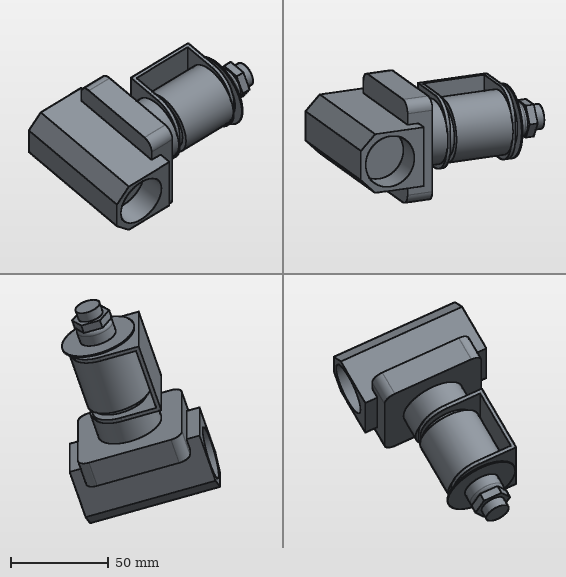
import cadquery as cq

BLOCK_LENGTH = 70.0
BLOCK_HEIGHT = 31.9
BLOCK_DEPTH = 35.3
BLOCK_CHAMFER = 8.0
FRONT_Y = -16.3
PORT_DIAMETER = 27.4
PORT_DEPTH = 13.9

FLANGE_SIZE = 56.0
FLANGE_CORNER_RADIUS = 5.9
FLANGE_FRONT_OFFSET = 29.3
FLANGE_THICKNESS = 14.0

FLANGE_BACK = FLANGE_FRONT_OFFSET + FLANGE_THICKNESS
BASE_END = 56.9
BARREL_START = 61.8
BARREL_END = 93.5
WASHER_START = 97.2
WASHER_END = 97.9
NUT_START = 106.0
NUT_END = 110.6
STEM_END = 115.9

BARREL_DIAMETER = 34.1
NECK_DIAMETER = 28.5
WASHER_DIAMETER = 39.0
CAP_DIAMETER = 19.2
CAP_FILLET = 2.3
NUT_ACROSS_CORNERS = 20.0
STUD_DIAMETER = 13.1

BRACKET_HEIGHT = 39.4
BRACKET_THICKNESS = 2.1
BRACKET_LEFT_X = -21.2
BRACKET_RIGHT_X = 15.2
BRACKET_START = 57.0
BRACKET_END = BARREL_END + BRACKET_THICKNESS


def plane_at(offset):
    """Plane facing +Y at the given distance behind the front of the block."""
    return cq.Plane(origin=(0, FRONT_Y + offset, 0), xDir=(1, 0, 0), normal=(0, 1, 0))


def disc(diameter, start, end):
    """Round step of the stem between two distances from the front."""
    return cq.Workplane(plane_at(start)).circle(diameter / 2).extrude(end - start)


def make_block():
    block = cq.Workplane("XY").box(BLOCK_LENGTH, BLOCK_DEPTH, BLOCK_HEIGHT)
    block = block.translate((0, FRONT_Y + BLOCK_DEPTH / 2, 0))
    return block.faces("<Y").edges("|X").chamfer(BLOCK_CHAMFER)


def make_flange():
    flange = cq.Workplane(plane_at(FLANGE_FRONT_OFFSET)).rect(FLANGE_SIZE, FLANGE_SIZE)
    flange = flange.extrude(FLANGE_THICKNESS)
    return flange.edges("|Y").fillet(FLANGE_CORNER_RADIUS)


def make_stem():
    base = disc(BARREL_DIAMETER, FLANGE_BACK, BASE_END)
    neck = disc(NECK_DIAMETER, BASE_END, WASHER_START)
    barrel = disc(BARREL_DIAMETER, BARREL_START, BARREL_END)
    washer = disc(WASHER_DIAMETER, WASHER_START, WASHER_END)
    cap = disc(CAP_DIAMETER, WASHER_END, NUT_START).faces(">Y").edges().fillet(CAP_FILLET)
    nut = cq.Workplane(plane_at(NUT_START)).polygon(6, NUT_ACROSS_CORNERS)
    nut = nut.extrude(NUT_END - NUT_START)
    stud = disc(STUD_DIAMETER, NUT_END, STEM_END)
    return base.union(neck).union(barrel).union(washer).union(cap).union(nut).union(stud)


def make_valve():
    valve = make_block().union(make_flange()).union(make_stem())
    for side in (-1, 1):
        port = cq.Workplane("YZ", origin=(side * BLOCK_LENGTH / 2, 0, 0))
        valve = valve.cut(port.circle(PORT_DIAMETER / 2).extrude(-side * PORT_DEPTH))
    return valve


def make_bracket():
    length = BRACKET_END - BRACKET_START
    outline = cq.Workplane(plane_at(BRACKET_START))
    outline = outline.center((BRACKET_LEFT_X + BRACKET_RIGHT_X) / 2, 0)
    bracket = outline.rect(BRACKET_RIGHT_X - BRACKET_LEFT_X, BRACKET_HEIGHT).extrude(length)
    bracket = bracket.faces(">X").edges("|Y").fillet(BRACKET_RIGHT_X)
    gap_left = BRACKET_LEFT_X + BRACKET_THICKNESS
    gap_width = BRACKET_RIGHT_X - gap_left
    gap_length = length - 2 * BRACKET_THICKNESS
    gap = cq.Workplane("XY").box(gap_width, gap_length, BRACKET_HEIGHT)
    gap_middle_y = FRONT_Y + (BRACKET_START + BRACKET_END) / 2
    gap = gap.translate((gap_left + gap_width / 2, gap_middle_y, 0))
    bore = disc(NECK_DIAMETER, BRACKET_START, BRACKET_END)
    return bracket.cut(gap).cut(bore)


valve = make_valve()
bracket = make_bracket()
result = cq.Compound.makeCompound([valve.val(), bracket.val()])